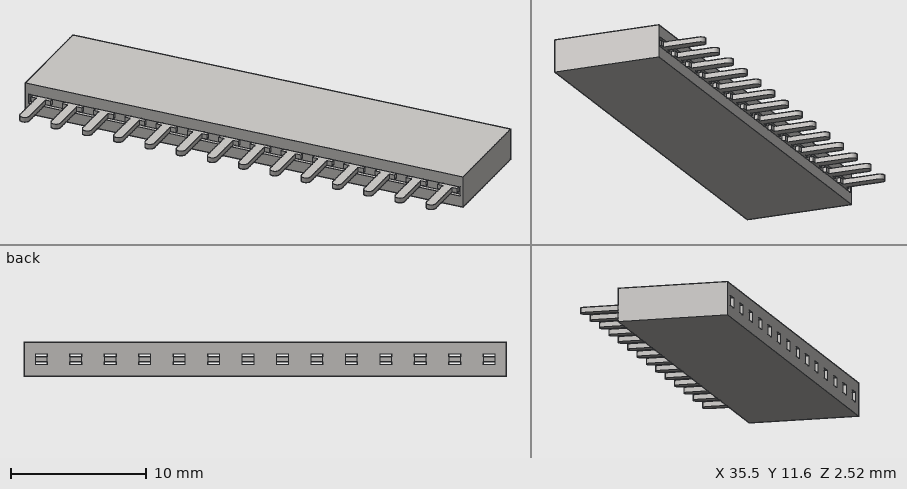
import cadquery as cq

length = 35.55
total_depth = 11.6
height = 2.52
body_depth = 8.4

contact_count = 14
pitch = length / contact_count

recess_margin = 0.25
recess_height = 0.75
recess_depth = 0.3
recess_width = length - 2 * recess_margin

contact_thickness = 0.4
tail_width = 0.75
tip_radius = tail_width / 2
shoulder_width = 1.6
shoulder_embed = 0.35

passage_width = 0.85

tip_y = -total_depth / 2
back_y = total_depth / 2
front_y = back_y - body_depth
floor_y = front_y + recess_depth
shoulder_back_y = floor_y + shoulder_embed

contact_positions = [(i - (contact_count - 1) / 2) * pitch for i in range(contact_count)]


def block(width, y_start, y_end, thickness, x=0.0):
    """Box centred on x and on Z = 0, reaching from y_start to y_end."""
    box = cq.Workplane("XY").box(width, y_end - y_start, thickness)
    return box.translate((x, (y_start + y_end) / 2, 0))


def make_housing():
    """Plain block with a shallow recess and a passage to the back for each contact."""
    housing = block(length, front_y, back_y, height)
    housing = housing.cut(block(recess_width, front_y, floor_y, recess_height))
    for x in contact_positions:
        housing = housing.cut(block(passage_width, floor_y, back_y, recess_height, x))
    return housing


def make_contact(x):
    """Flat tail with a rounded tip; its shoulder is flush with the housing front."""
    tip_start_y = tip_y + tip_radius
    tail = (
        cq.Workplane("XY")
        .moveTo(x - tip_radius, shoulder_back_y)
        .lineTo(x - tip_radius, tip_start_y)
        .threePointArc((x, tip_y), (x + tip_radius, tip_start_y))
        .lineTo(x + tip_radius, shoulder_back_y)
        .close()
        .extrude(contact_thickness / 2, both=True)
    )
    shoulder = block(shoulder_width, front_y, shoulder_back_y, contact_thickness, x)
    return tail.union(shoulder)


result = make_housing()
for x in contact_positions:
    result = result.union(make_contact(x))